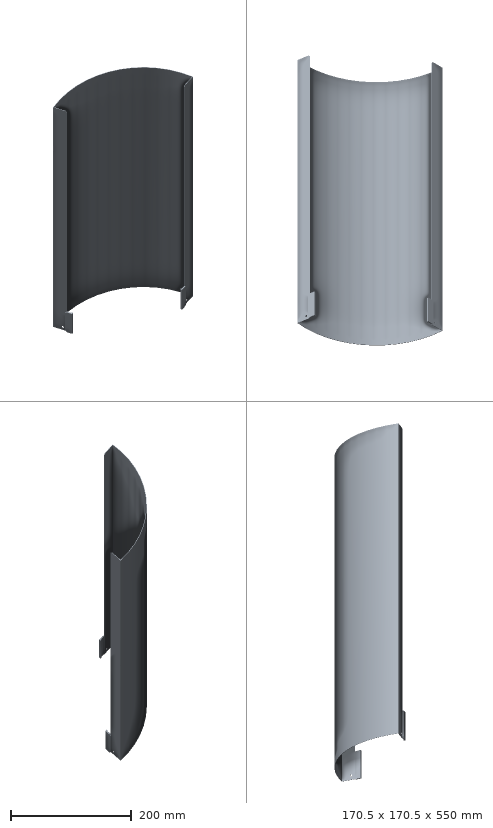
import cadquery as cq

height = 550.0
radius = 170.5
thickness = 0.8
bend_radius = 0.65

flange_length = 25.0
flange_lean = 6.0
flange_chamfer = 3.0

tab_height = 49.5
tab_length = 12.5
tab_lap = 2.0
tab_thickness = 2.0
tab_chamfer = 3.0
lip_depth = 3.5

hole_diameter = 4.0
hole_offset = 17.5
hole_height = 7.0


def make_shell():
    """Quarter of a thin tube, in the quadrant X < 0, Y > 0."""
    ring = cq.Workplane("XY").circle(radius).circle(radius - thickness).extrude(height)
    quadrant = cq.Workplane("XY").box(radius, radius, height, centered=False)
    return ring.intersect(quadrant.translate((-radius, 0, 0)))


def make_flange():
    """Flat flange with its outer face on the XZ plane and its root edge on the Z axis."""
    plate = cq.Workplane("XY").box(flange_length, thickness, height, centered=False)
    plate = plate.edges("|Y and >X and >Z").chamfer(flange_chamfer)
    hole = (
        cq.Workplane("XZ", origin=(hole_offset, 0, hole_height))
        .circle(hole_diameter / 2)
        .extrude(thickness, both=True)
    )
    return plate.cut(hole)


def make_tab():
    """L-section tab: a plate on the flange's outer face and a lip pointing inwards."""
    plate = cq.Workplane("XY").box(tab_length, tab_thickness, tab_height, centered=False)
    plate = plate.edges("|Y and <X").chamfer(tab_chamfer)
    lip = cq.Workplane("XY").box(tab_thickness, lip_depth, tab_height, centered=False)
    lip = lip.translate((tab_length - tab_thickness, 0, 0))
    return plate.union(lip).translate((flange_length - tab_lap, -tab_thickness, 0))


def make_side():
    """Leaning flange and tab at the shell edge on the X axis, trimmed flush with the shell."""
    side = make_flange().union(make_tab())
    side = side.rotate((0, 0, 0), (0, 0, 1), flange_lean).translate((-radius, 0, 0))
    return side.intersect(cq.Workplane("XY").circle(radius).extrude(height))


def mirror_over_diagonal(body):
    """Mirror over the vertical plane Y = -X, which swaps the two shell edges."""
    return body.mirror("YZ").rotate((0, 0, 0), (0, 0, 1), 90)


side = make_side()
result = make_shell().union(side).union(mirror_over_diagonal(side))

for bend in [(-radius, 0, height / 2), (0, radius, height / 2)]:
    result = result.edges(cq.selectors.NearestToPointSelector(bend)).fillet(bend_radius)